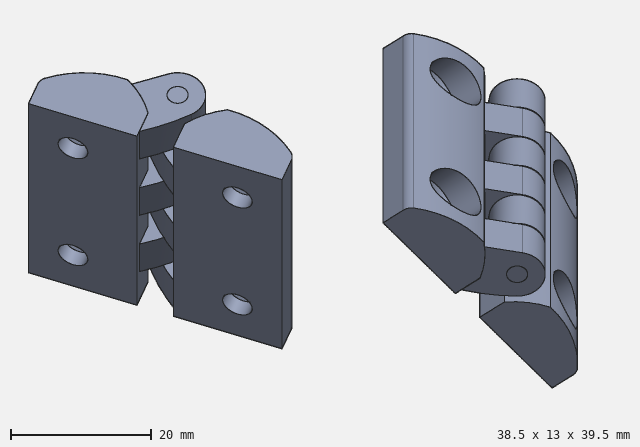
import cadquery as cq
import math

HEIGHT = 39.5
WIDTH = 38.5
HALF_WIDTH = WIDTH / 2
HALF_GAP = 2.75
TOP = 9.0

INNER_WALL = 4.45
CREST_X = 7.6
INNER_ARC_RISE = 0.4
CROWN_RADIUS = 16.0
CROWN_CENTRE_X = 8.18
CROWN_END_X = 18.7
OUTER_WALL = 3.65
SHOULDER_BULGE = 0.17

HOLE_X = 12.5
HOLE_Z = 12.5
SCREW_DIAMETER = 4.5
HEAD_DIAMETER = 8.5
SEAT_START = 2.5
SEAT_END = SEAT_START + (HEAD_DIAMETER - SCREW_DIAMETER) / 2

PIN_DIAMETER = 3.0
PIN_Y = TOP
KNUCKLE_RADIUS = 4.0
ARM_ANGLE = math.radians(40)
ARM_ROOT_X = -7.9
UNDERSIDE_START = (-HALF_GAP, 1.0)
UNDERSIDE_TANGENT_ANGLE = math.radians(50)
KNUCKLE_COUNT = 6
KNUCKLE_GAP = 0.15
PITCH = HEIGHT / KNUCKLE_COUNT
PIN_LENGTH = HEIGHT - KNUCKLE_GAP


def bulged_point(start, end, rise):
    """Point at the given distance to the left of the middle of a chord."""
    dx = end[0] - start[0]
    dy = end[1] - start[1]
    length = math.hypot(dx, dy)
    return ((start[0] + end[0]) / 2 - rise * dy / length,
            (start[1] + end[1]) / 2 + rise * dx / length)


def crown_y(x):
    """Height of the crown arc above the mounting face."""
    drop = CROWN_RADIUS - math.sqrt(CROWN_RADIUS**2 - (x - CROWN_CENTRE_X)**2)
    return TOP - drop


def make_plate():
    """Left plate with its domed back."""
    inner_wall_top = (-HALF_GAP, INNER_WALL)
    crest = (-CREST_X, crown_y(CREST_X))
    crown_middle_x = (CREST_X + CROWN_END_X) / 2
    crown_end = (-CROWN_END_X, crown_y(CROWN_END_X))
    outer_wall_top = (-HALF_WIDTH, OUTER_WALL)
    return (
        cq.Workplane("XY", origin=(0, 0, -HEIGHT / 2))
        .moveTo(-HALF_WIDTH, 0)
        .lineTo(-HALF_GAP, 0)
        .lineTo(*inner_wall_top)
        .threePointArc(bulged_point(inner_wall_top, crest, -INNER_ARC_RISE), crest)
        .threePointArc((-crown_middle_x, crown_y(crown_middle_x)), crown_end)
        .threePointArc(bulged_point(crown_end, outer_wall_top, -SHOULDER_BULGE), outer_wall_top)
        .close()
        .extrude(HEIGHT)
    )


def make_knuckle(bottom, top):
    """Arm rising from the plate to a round eye about the pin axis."""
    across = (math.sin(ARM_ANGLE), math.cos(ARM_ANGLE))
    upper_tangent = (-KNUCKLE_RADIUS * across[0], PIN_Y + KNUCKLE_RADIUS * across[1])
    lower_tangent = (KNUCKLE_RADIUS * math.sin(UNDERSIDE_TANGENT_ANGLE),
                     PIN_Y - KNUCKLE_RADIUS * math.cos(UNDERSIDE_TANGENT_ANGLE))
    eye_tip = (KNUCKLE_RADIUS * math.cos(ARM_ANGLE), PIN_Y + KNUCKLE_RADIUS * math.sin(ARM_ANGLE))
    root_y = upper_tangent[1] + (ARM_ROOT_X - upper_tangent[0]) * math.tan(ARM_ANGLE)
    return (
        cq.Workplane("XY", origin=(0, 0, bottom))
        .moveTo(ARM_ROOT_X, root_y)
        .lineTo(*upper_tangent)
        .threePointArc(eye_tip, lower_tangent)
        .tangentArcPoint(UNDERSIDE_START, relative=False)
        .lineTo(ARM_ROOT_X, UNDERSIDE_START[1])
        .close()
        .extrude(top - bottom)
    )


def make_screw_hole(z):
    """Cutter for one screw hole: shank, conical seat, then a bore open at the crown."""
    shank_radius = SCREW_DIAMETER / 2
    head_radius = HEAD_DIAMETER / 2
    return (
        cq.Workplane("XY")
        .lineTo(shank_radius, 0)
        .lineTo(shank_radius, SEAT_START)
        .lineTo(head_radius, SEAT_END)
        .lineTo(head_radius, TOP)
        .lineTo(0, TOP)
        .close()
        .revolve(360, (0, 0), (0, 1))
        .translate((-HOLE_X, 0, z))
    )


def make_pin():
    """Plain pin, flush with the outer faces of the end knuckles."""
    return (
        cq.Workplane("XY", origin=(0, PIN_Y, -PIN_LENGTH / 2))
        .circle(PIN_DIAMETER / 2)
        .extrude(PIN_LENGTH)
    )


def make_leaf():
    """Left leaf: plate with every second knuckle, starting at the top end."""
    leaf = make_plate()
    for slot in range(0, KNUCKLE_COUNT, 2):
        top = HEIGHT / 2 - slot * PITCH - KNUCKLE_GAP / 2
        bottom = top - PITCH + KNUCKLE_GAP
        leaf = leaf.union(make_knuckle(bottom, top))
    for z in (-HOLE_Z, HOLE_Z):
        leaf = leaf.cut(make_screw_hole(z))
    return leaf.cut(make_pin())


left_leaf = make_leaf()
right_leaf = left_leaf.rotate((0, 0, 0), (0, 1, 0), 180)
pin = make_pin()

result = cq.Compound.makeCompound([left_leaf.val(), right_leaf.val(), pin.val()])